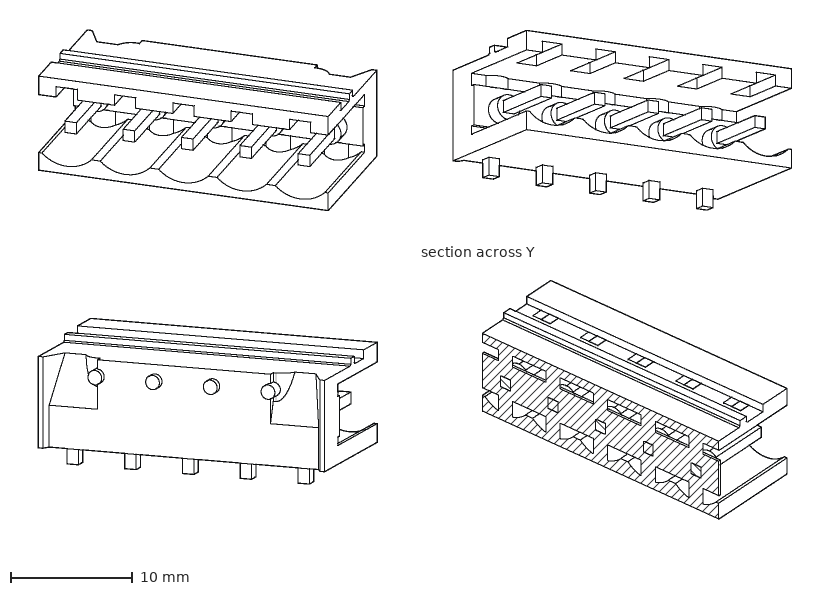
import cadquery as cq


length = 25.2
depth = 12.0
deck_top = 7.69
lip_top = 8.42
lip_depth = 3.1

contact_count = 5
end_margin = 2.45
pitch = (length - 2 * end_margin) / (contact_count - 1)
contact_xs = [end_margin - length / 2 + i * pitch for i in range(contact_count)]
contact_z = 3.78

floor_top = 1.6
deck_underside = 6.75
cavity_back = 8.97
trough_radius = 3.07

block_front = 8.57
block_bottom = 2.3
block_top = 5.72
boss_diameter = 2.12
boss_front = 7.08
column_width = boss_diameter

notch_width = 1.85
notch_depth = 4.13

rib_front = 5.25
rib_back = 6.05
rib_height = 0.63
rib_foot_run = 0.15
rib_foot_rise = 0.13

rear_face = 11.42
peg_diameter = 1.2
peg_z = 6.3
peg_xs = [x + pitch / 2 for x in contact_xs[:-1]]
pocket_step_y = 10.79
pocket_floor_y = 9.93
pocket_bottom = 3.53
ear_tip_width = 0.43
ear_root_width = 1.55
pocket_arc_outer = 3.4
pocket_arc_inner = 4.75

pin_size = 1.0
pin_tip_y = 0.95
leg_centre_y = 9.95
tail_length = 1.5


def box(x_range, y_range, z_range):
    """Box spanning the given (low, high) ranges along X, Y and Z."""
    (x0, x1), (y0, y1), (z0, z1) = x_range, y_range, z_range
    return cq.Workplane("XY").box(x1 - x0, y1 - y0, z1 - z0, centered=False).translate((x0, y0, z0))


def cylinder_along_y(diameter, x, z, y_start, y_end):
    """Cylinder parallel to Y, running from y_start to y_end."""
    circle = cq.Workplane("XZ", origin=(x, y_start, z)).circle(diameter / 2)
    return circle.extrude(y_start - y_end)


def side_profile():
    """Constant (Y, Z) section of the housing, extruded over its full length."""
    section = cq.Workplane("YZ", origin=(-length / 2, 0, 0)).polyline([
        (0, 0),
        (depth, 0),
        (depth, deck_top),
        (rib_back + rib_foot_run, deck_top),
        (rib_back, deck_top + rib_foot_rise),
        (rib_back, deck_top + rib_height),
        (rib_front, deck_top + rib_height),
        (rib_front, deck_top + rib_foot_rise),
        (rib_front - rib_foot_run, deck_top),
        (lip_depth, deck_top),
        (lip_depth, lip_top),
        (0, lip_top),
        (0, deck_underside),
        (cavity_back, deck_underside),
        (cavity_back, block_top),
        (block_front, block_top),
        (block_front, block_bottom),
        (cavity_back, block_bottom),
        (cavity_back, floor_top),
        (0, floor_top),
    ])
    return section.close().extrude(length)


def trough(x):
    """Round-bottomed channel in the cavity floor, concentric with a pin."""
    channel = cylinder_along_y(2 * trough_radius, x, contact_z, 0, cavity_back)
    return channel.intersect(box((x - pitch / 2, x + pitch / 2), (0, cavity_back), (0, floor_top)))


def column(x):
    """Shallow rounded column on the cavity back wall, level with the block at its crest."""
    foot = contact_z - trough_radius
    half_chord = column_width / 2
    outline = (
        cq.Workplane("XY", origin=(x, 0, foot))
        .moveTo(-half_chord, cavity_back)
        .threePointArc((0, block_front), (half_chord, cavity_back))
        .close()
    )
    return outline.extrude(deck_underside - foot)


def boss(x):
    """Round boss on the block, surrounding a pin."""
    return cylinder_along_y(boss_diameter, x, contact_z, boss_front, block_front)


def deck_notch(x):
    """Notch through the lip's lower part and the front of the deck."""
    half_width = notch_width / 2
    return box((x - half_width, x + half_width), (0, notch_depth), (deck_underside, deck_top))


def rear_pocket():
    """Left half of the rear relief: a ramped corner pocket and a shallow setback to mid-length."""
    left = -length / 2
    step_x = peg_xs[0]
    ear_slope = (ear_root_width - ear_tip_width) / (depth - pocket_floor_y)
    ear_rear_width = ear_tip_width + ear_slope * (depth - rear_face)

    pocket = (
        cq.Workplane("XY")
        .moveTo(step_x, rear_face)
        .lineTo(step_x, pocket_step_y)
        .lineTo(left + pocket_arc_inner, pocket_step_y)
        .tangentArcPoint((left + pocket_arc_outer, pocket_floor_y), relative=False)
        .lineTo(left + ear_root_width, pocket_floor_y)
        .lineTo(left + ear_rear_width, rear_face)
        .close()
        .extrude(deck_top)
    )
    ramp_side = (
        cq.Workplane("YZ", origin=(left, 0, 0))
        .polyline([(pocket_floor_y, deck_top), (rear_face, deck_top), (rear_face, pocket_bottom)])
        .close()
        .extrude(length)
    )
    setback = (
        cq.Workplane("XY")
        .polyline([
            (left + ear_rear_width, rear_face),
            (left + ear_tip_width, depth),
            (0, depth),
            (0, rear_face),
        ])
        .close()
        .extrude(deck_top)
    )
    return setback.union(pocket.intersect(ramp_side))


def rear_peg(x):
    """Round locating peg projecting from the rear face to the tips of the ears."""
    return cylinder_along_y(peg_diameter, x, peg_z, pocket_floor_y, depth)


def make_pin(x):
    """Square pin: a horizontal contact bent down into a solder tail."""
    half = pin_size / 2
    leg_back = leg_centre_y + half
    contact = box((x - half, x + half), (pin_tip_y, leg_back), (contact_z - half, contact_z + half))
    leg = box((x - half, x + half), (leg_centre_y - half, leg_back), (-tail_length, contact_z + half))
    return contact.union(leg)


def make_housing(pins):
    """Housing with its contact features, rear reliefs and a hole matching each pin."""
    body = side_profile()
    for x in contact_xs:
        body = body.cut(trough(x)).cut(deck_notch(x))
        body = body.union(column(x)).union(boss(x))
    left_pocket = rear_pocket()
    body = body.cut(left_pocket).cut(left_pocket.mirror("YZ"))
    for x in peg_xs:
        body = body.union(rear_peg(x))
    for pin in pins:
        body = body.cut(pin)
    return body


pins = [make_pin(x) for x in contact_xs]
housing = make_housing(pins)

result = cq.Compound.makeCompound([housing.val(), *[pin.val() for pin in pins]])